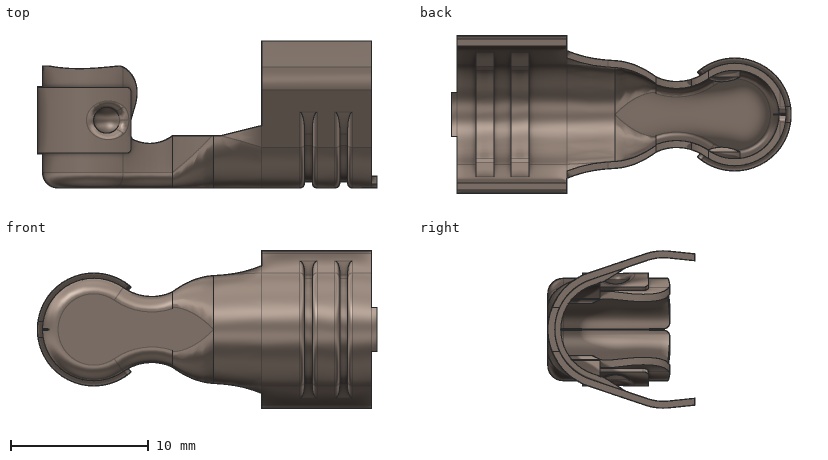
import cadquery as cq
import math


sheet = 0.51
cup_radius = 3.72
cup_height = 8.87
corner_radius = 1.13
rim_edge = [(-3.3, cup_height), (-2.0, 8.7), (-0.8, 8.67), (0.4, 8.73), (1.9, cup_height)]
wing_edge = [(2.7, 8.3), (3.12, 7.3), (2.9, 5.6), (2.6, 4.4), (2.8, 3.55)]

neck_x = 4.2
neck_half_width = 2.4
neck_end_x = 5.71
neck_end_half_width = 2.75
valley_height = 3.25
shoulder_height = 3.8

flare_x = 7.2
flare_half_width = 3.58
flare_flat = 1.18
round_x = 8.68
round_radius = 3.92
keel_half_width = 0.02
lean_x = 10.4
lean_half_width = 4.06
lean_angle = 8.0
rise_start_x = 9.2
rise_end_height = 4.54
wall_top = 4.84

barrel_start_x = 12.18
barrel_end_x = 20.16
barrel_radius = 4.33
wing_angle = 18.6
wing_straight = 4.4
wing_bend_radius = 3.95
wing_lip_angle = 6.0
barrel_height = 10.67

bead_centers_x = (15.57, 18.13)
bead_width = 1.3
bead_floor_width = 0.56
bead_depth = 0.44
bead_full_length = 0.89
bead_total_length = 2.72
tab_length = 0.4
tab_half_width = 1.6

slit_width = 0.08
slit_start_y = 0.3
slit_depth = 0.9
slit_corner_radius = 0.5

band_radius = 4.1
band_low_y = 2.53
band_high_y = 7.31
band_end_angle = 48.5
band_corner_radius = 0.4
patch_half_width = 0.57
patch_overhang = 0.07

dimple_x = 0.93
dimple_y = 4.92
dimple_radius = 0.94
dimple_rim_fillet = 0.46
dimple_side_z = 3.1
dimple_floor_z = 2.75

band_sheet = band_radius - cup_radius
sin_wing = math.sin(math.radians(wing_angle))
cos_wing = math.cos(math.radians(wing_angle))
far = 30.0
clearance = 1.0


def mirrored(point):
    """A (Y, Z) point moved to the other side of Z = 0."""
    return point[0], -point[1]


def neck_outline(inset):
    """Plan outline of cup and neck: a circle flowing into two concave neck arcs."""
    waist_gap = cup_radius - neck_half_width
    arc_radius = (neck_x**2 + neck_half_width**2 - cup_radius**2) / (2 * waist_gap)
    center_z = neck_half_width + arc_radius
    reach = math.hypot(neck_x, center_z)
    radius = cup_radius - inset
    grown = arc_radius + inset
    join = (radius * neck_x / reach, radius * center_z / reach)
    waist = (neck_x, center_z - grown)
    end = (neck_end_x, center_z - math.sqrt(grown**2 - (neck_end_x - neck_x)**2))
    return (
        cq.Workplane("XZ")
        .moveTo(end[0], -end[1])
        .threePointArc((waist[0], -waist[1]), (join[0], -join[1]))
        .threePointArc((-radius, 0), join)
        .threePointArc(waist, end)
        .close()
    )


def neck_solid(inset):
    """Filled cup and neck, rounded along the bottom everywhere but at the neck end."""
    block = neck_outline(inset).extrude(inset - cup_height).translate((0, inset, 0))
    return block.faces("<Y").edges("not >X").fillet(corner_radius - inset)


def section_side(half_width, flat, angle, inset):
    """Points of one side of a U section, from the flat bottom to the wall top, as (Y, Z)."""
    lean = math.radians(angle)
    radius = half_width - flat
    bend = radius - inset
    middle = (math.pi / 2 - lean) / 2
    start = (inset, flat)
    mid = (radius - bend * math.cos(middle), flat + bend * math.sin(middle))
    end = (radius - bend * math.sin(lean), flat + bend * math.cos(lean))
    top = (wall_top, end[1] + (wall_top - end[0]) * math.tan(lean))
    return start, mid, end, top


def u_section(x, half_width, flat, angle):
    """Closed U-shaped sheet section at X = x: rounded corners, leaning walls; fully round if flat is 0."""
    start, mid, end, top = section_side(half_width, flat, angle, 0)
    start_in, mid_in, end_in, top_in = section_side(half_width, flat, angle, sheet)
    path = cq.Workplane("YZ", origin=(x, 0, 0)).moveTo(*mirrored(top)).lineTo(*mirrored(end))
    if flat:
        path = path.threePointArc(mirrored(mid), mirrored(start)).lineTo(*start).threePointArc(mid, end)
    else:
        path = path.threePointArc(start, end)
    path = path.lineTo(*top).lineTo(*top_in).lineTo(*end_in)
    if flat:
        path = path.threePointArc(mid_in, start_in).lineTo(*mirrored(start_in))
        path = path.threePointArc(mirrored(mid_in), mirrored(end_in))
    else:
        path = path.threePointArc(start_in, mirrored(end_in))
    return path.lineTo(*mirrored(top_in)).close().val()


def loft(sections):
    return cq.Workplane(cq.Solid.makeLoft([u_section(*section) for section in sections]))


def transition():
    first = loft([
        (neck_end_x, neck_end_half_width, neck_end_half_width - corner_radius, 0),
        (flare_x, flare_half_width, flare_flat, 0),
        (round_x, round_radius, keel_half_width, 0),
    ])
    second = loft([
        (round_x, round_radius, 0, 0),
        (lean_x, lean_half_width, 0, lean_angle),
        (barrel_start_x, barrel_radius, 0, wing_angle),
    ])
    return first.union(second)


def wall_heights():
    """Everything kept below the upper edge of cup walls, neck and transition."""
    left = -cup_radius - clearance
    return (
        cq.Workplane("XY", origin=(0, 0, -far / 2))
        .moveTo(left, -clearance)
        .lineTo(left, cup_height)
        .lineTo(*rim_edge[0])
        .spline(rim_edge[1:], includeCurrent=True)
        .spline(wing_edge, includeCurrent=True)
        .threePointArc((neck_x, valley_height), (neck_end_x, shoulder_height))
        .lineTo(rise_start_x, shoulder_height)
        .lineTo(barrel_start_x, rise_end_height)
        .lineTo(barrel_start_x, -clearance)
        .close()
        .extrude(far)
    )


def seam():
    """Narrow slit between the two cup walls, widening into rounded corners at the rim."""
    slit_length = slit_depth + clearance
    slit_height = cup_height - slit_start_y + clearance
    slit = cq.Workplane("XY").box(slit_length, slit_height, slit_width, centered=(False, False, True))
    slit = slit.translate((-cup_radius - clearance, slit_start_y, 0))
    low = cup_height - slit_corner_radius
    half = slit_width / 2
    wide = half + slit_corner_radius
    bow = slit_corner_radius * (1 - math.sqrt(0.5))
    mouth = (
        cq.Workplane("YZ", origin=(-cup_radius - clearance, 0, 0))
        .moveTo(low, -half)
        .lineTo(low, half)
        .threePointArc((cup_height - bow, half + bow), (cup_height, wide))
        .lineTo(cup_height + clearance, wide)
        .lineTo(cup_height + clearance, -wide)
        .lineTo(cup_height, -wide)
        .threePointArc((cup_height - bow, -half - bow), (low, -half))
        .close()
        .extrude(slit_length)
    )
    return slit.union(mouth)


def wing_point(along, depth):
    """(Y, Z) on the +Z wing: distance along it from the round part, depth below its outside."""
    bend = barrel_radius - depth
    return (barrel_radius - bend * sin_wing + along * cos_wing, bend * cos_wing + along * sin_wing)


def wing_lip(depth):
    """Bend middle, bend end and lip tip of the +Z wing, as (Y, Z)."""
    bend_y, bend_z = wing_point(wing_straight, wing_bend_radius)
    radius = wing_bend_radius - depth
    lip = math.radians(wing_lip_angle)
    half_turn = (lip - math.radians(wing_angle)) / 2
    middle = (bend_y + radius * math.sin(half_turn), bend_z + radius * math.cos(half_turn))
    end = (bend_y + radius * math.sin(lip), bend_z + radius * math.cos(lip))
    tip = (barrel_height, end[1] - (barrel_height - end[0]) * math.tan(lip))
    return middle, end, tip


def barrel_plate():
    middle, end, tip = wing_lip(0)
    middle_in, end_in, tip_in = wing_lip(sheet)
    low, high = wing_point(0, 0), wing_point(wing_straight, 0)
    low_in, high_in = wing_point(0, sheet), wing_point(wing_straight, sheet)
    return (
        cq.Workplane("YZ", origin=(barrel_start_x, 0, 0))
        .moveTo(*mirrored(tip))
        .lineTo(*mirrored(end))
        .threePointArc(mirrored(middle), mirrored(high))
        .lineTo(*mirrored(low))
        .threePointArc((0, 0), low)
        .lineTo(*high)
        .threePointArc(middle, end)
        .lineTo(*tip)
        .lineTo(*tip_in)
        .lineTo(*end_in)
        .threePointArc(middle_in, high_in)
        .lineTo(*low_in)
        .threePointArc((sheet, 0), mirrored(low_in))
        .lineTo(*mirrored(high_in))
        .threePointArc(mirrored(middle_in), mirrored(end_in))
        .lineTo(*mirrored(tip_in))
        .close()
        .extrude(barrel_end_x - barrel_start_x)
    )


def bead_strip(center_x, top_depth, floor_depth, end_depth):
    """Full-width strip under the barrel surface whose floor ramps up to end_depth at both ends."""
    low, low_floor = wing_point(0, top_depth), wing_point(0, floor_depth)
    ramp = wing_point(bead_full_length, floor_depth)
    end = wing_point(bead_total_length, end_depth)
    end_top = wing_point(bead_total_length, top_depth)
    return (
        cq.Workplane("YZ", origin=(center_x - bead_width / 2, 0, 0))
        .moveTo(*low)
        .lineTo(*end_top)
        .lineTo(*end)
        .lineTo(*ramp)
        .lineTo(*low_floor)
        .threePointArc((floor_depth, 0), mirrored(low_floor))
        .lineTo(*mirrored(ramp))
        .lineTo(*mirrored(end))
        .lineTo(*mirrored(end_top))
        .lineTo(*mirrored(low))
        .threePointArc((top_depth, 0), low)
        .close()
        .extrude(bead_width)
    )


def bead_profile(center_x):
    """Groove section with rounded shoulders, at the bottom of the barrel in the X-Y plane."""
    shoulder = (bead_width - bead_floor_width) / 2
    bow = shoulder * math.sqrt(0.5)
    half, floor = bead_width / 2, bead_floor_width / 2
    return (
        cq.Workplane("XY")
        .moveTo(center_x - half, 0)
        .threePointArc((center_x - half + bow, shoulder - bow), (center_x - floor, shoulder))
        .lineTo(center_x - floor, bead_depth)
        .lineTo(center_x + floor, bead_depth)
        .lineTo(center_x + floor, shoulder)
        .threePointArc((center_x + half - bow, shoulder - bow), (center_x + half, 0))
        .close()
    )


def bead_groove(center_x):
    """Groove swept around the barrel and along both wings, stopped by the ramped floor."""
    side_turn = 90 - wing_angle
    axis_start, axis_end = (0, barrel_radius, 0), (1, barrel_radius, 0)
    bend = bead_profile(center_x).revolve(2 * side_turn, axis_start, axis_end)
    bend = bend.rotate(axis_start, axis_end, -side_turn)
    run = bead_profile(center_x).extrude(bead_total_length)
    upper = run.rotate(axis_start, axis_end, -side_turn)
    lower = upper.mirror("XY")
    return bend.union(upper).union(lower).intersect(bead_strip(center_x, -sheet, bead_depth, 0))


def end_tab():
    width = 2 * tab_half_width
    ring = (
        cq.Workplane("YZ", origin=(barrel_end_x, 0, 0))
        .center(barrel_radius, 0)
        .circle(barrel_radius)
        .circle(barrel_radius - sheet)
        .extrude(tab_length)
    )
    keep = cq.Workplane("XY").box(2 * far, barrel_radius, width, centered=(True, False, True))
    return ring.intersect(keep)


def dimple(wall, top_z):
    """Both dimple plugs, grown by a wall thickness: round sides up to top_z and a domed floor."""
    radius = dimple_radius + wall
    floor_z = dimple_floor_z - wall
    dome_height = dimple_side_z - dimple_floor_z
    dome_radius = (radius**2 + dome_height**2) / (2 * dome_height)
    dome_center_z = floor_z + dome_radius
    half_angle = math.asin(radius / dome_radius) / 2
    dome_mid = (dome_radius * math.sin(half_angle), dome_center_z - dome_radius * math.cos(half_angle))
    plug = (
        cq.Workplane("XZ")
        .moveTo(0, floor_z)
        .threePointArc(dome_mid, (radius, floor_z + dome_height))
        .lineTo(radius, top_z)
        .lineTo(0, top_z)
        .close()
        .revolve(360, (0, 0), (0, 1))
        .translate((dimple_x, dimple_y, 0))
    )
    return plug.union(plug.mirror("XY"))


def make_terminal():
    """Cup, neck, transition, winged barrel and end tab, with holes where the band dimples sit."""
    front = neck_solid(0).cut(neck_solid(sheet))
    front = front.union(transition()).intersect(wall_heights()).cut(seam())
    barrel = barrel_plate()
    for center_x in bead_centers_x:
        barrel = barrel.union(bead_strip(center_x, sheet / 2, bead_depth + sheet, sheet))
        barrel = barrel.cut(bead_groove(center_x))
    barrel = barrel.union(end_tab(), clean=False)
    return front.union(barrel, clean=False).cut(dimple(band_sheet, band_radius), clean=False)


def make_band():
    """Open ring hugging the cup, slightly wider at its back, with two dimples pressed inward."""
    width = band_high_y - band_low_y
    ring = cq.Workplane("XZ").circle(band_radius).extrude(-width).translate((0, band_low_y, 0))
    reach = 2 * band_radius
    end_z = reach * math.tan(math.radians(band_end_angle))
    opening = (
        cq.Workplane("XZ").polyline([(0, 0), (reach, end_z), (reach, -end_z)]).close().extrude(-far)
    )
    patch_side = cq.Workplane("XY").box(far, far, 2 * patch_half_width).translate((-far / 2, 0, 0))
    patch = (
        cq.Workplane("XZ")
        .circle(band_radius)
        .extrude(-width - 2 * patch_overhang)
        .translate((0, band_low_y - patch_overhang, 0))
        .intersect(patch_side)
    )
    band = ring.union(patch).cut(opening).cut(neck_outline(0).extrude(-far))
    ends = cq.selectors.BoxSelector((0, -far, -far), (far, far, far))
    band = band.edges(ends).edges("%LINE").edges("not |Y").fillet(band_corner_radius)
    shell = cq.Workplane("XZ").circle(band_radius).extrude(-far)
    band = band.union(dimple(band_sheet, band_radius).intersect(shell)).cut(dimple(0, far))
    rim_low_y, rim_high_y = dimple_y - dimple_radius, dimple_y + dimple_radius
    band_edge_level = (cup_radius + band_radius) / 2
    box = cq.selectors.BoxSelector
    upper_rim = band.edges(box((0, rim_low_y, band_edge_level), (2 * dimple_x, rim_high_y, far)))
    lower_rim = band.edges(box((0, rim_low_y, -far), (2 * dimple_x, rim_high_y, -band_edge_level)))
    return upper_rim.add(lower_rim).fillet(dimple_rim_fillet)


terminal = make_terminal()
band = make_band()
result = cq.Compound.makeCompound([terminal.val(), band.val()])